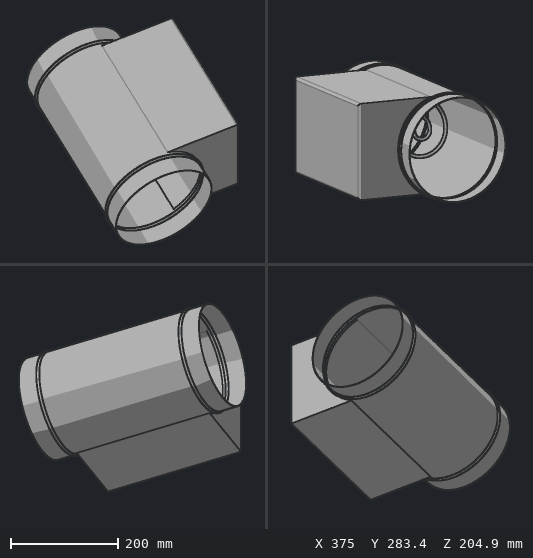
import cadquery as cq
import math

duct_length = 375.0
duct_radius = 100.0
wall = 1.0
bore_radius = duct_radius - wall
bead_height = 2.45
bead_width = 6.5
bead_inset = 39.5

box_length = 277.5
box_top = 95.0
box_bottom = -89.5
box_back = 180.95
box_edge_radius = 5.2

rod_radius = 3.2
spiral_step = 16.5
half_turns = 3
elbow_radius = 9.8


def bead_profile(x, base_radius):
    """Face between a chord at base_radius and the arc that rises above it."""
    half_width = bead_width / 2
    return (
        cq.Workplane("XY")
        .moveTo(x - half_width, base_radius)
        .threePointArc((x, base_radius + bead_height), (x + half_width, base_radius))
        .close()
    )


def revolve_about_duct(profile):
    return profile.revolve(360, (0, 0, 0), (1, 0, 0))


def make_duct():
    """Solid duct with its beads, before it is bored out."""
    duct = cq.Workplane("YZ").circle(duct_radius).extrude(duct_length / 2, both=True)
    for side in (-1, 1):
        bead_x = side * (duct_length / 2 - bead_inset)
        duct = duct.union(revolve_about_duct(bead_profile(bead_x, duct_radius)))
    return duct


def make_bore():
    """Space inside the duct, with a groove behind each bead."""
    bore = cq.Workplane("YZ").circle(bore_radius).extrude(duct_length / 2, both=True)
    for side in (-1, 1):
        bead_x = side * (duct_length / 2 - bead_inset)
        bore = bore.union(revolve_about_duct(bead_profile(bead_x, bore_radius)))
    return bore


def make_housing():
    """Solid block from the duct axis to the back, with rounded back edges."""
    return (
        cq.Workplane("XY")
        .box(box_length, box_back, box_top - box_bottom, centered=(True, False, False))
        .translate((0, 0, box_bottom))
        .faces(">Y")
        .edges()
        .fillet(box_edge_radius)
    )


def make_spiral_rod():
    """Round rod that winds out from the duct axis and ends in the housing."""
    path = cq.Workplane("YZ").moveTo(0, 0)
    y = 0.0
    direction = -1
    for turn in range(1, half_turns + 1):
        radius = turn * spiral_step
        end_y = y + direction * 2 * radius
        path = path.threePointArc(((y + end_y) / 2, direction * radius), (end_y, 0))
        y = end_y
        direction = -direction

    last_radius = -y
    elbow_y = math.sqrt((last_radius + elbow_radius) ** 2 - elbow_radius**2)
    tangent_ratio = last_radius / (last_radius + elbow_radius)
    tangent_point = (elbow_y * tangent_ratio, elbow_radius * tangent_ratio)
    path = (
        path.threePointArc((0, last_radius), tangent_point)
        .tangentArcPoint((elbow_y, 0), relative=False)
        .lineTo(duct_radius + rod_radius, 0)
    )
    return cq.Workplane("XY").circle(rod_radius).sweep(path)


result = make_duct().union(make_housing()).cut(make_bore()).union(make_spiral_rod())